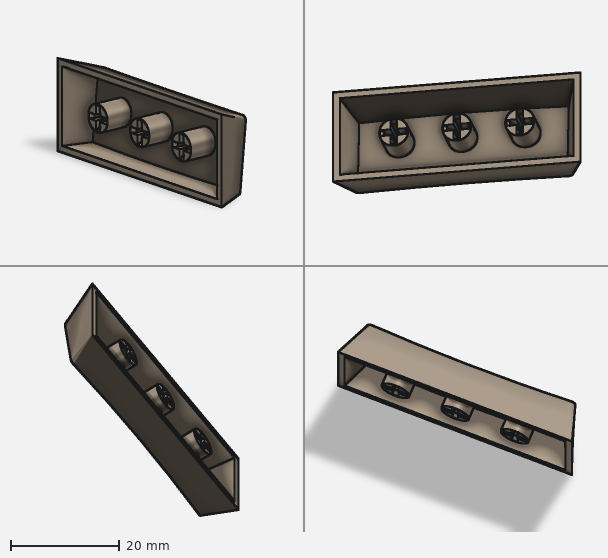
import cadquery as cq
import math

RIM_LENGTH = 46.75
RIM_HEIGHT = 18.0
RIM_WALL = 1.3
RIM_CORNER_RADIUS = 0.01

FACE_LENGTH = 41.55
FACE_UPPER_Y = 8.2
FACE_UPPER_Z = 6.42
FACE_LOWER_Y = 6.69
FACE_LOWER_Z = -8.83
FACE_CORNER_RADIUS = 1.0
DISH_DEPTH = 0.6

TOP_THICKNESS = 1.3
CEILING_LENGTH = 39.54
CEILING_UPPER_Z = 5.28
CEILING_LOWER_Z = -7.5

STEM_COUNT = 3
STEM_PITCH = 11.9
STEM_DIAMETER = 5.5
CROSS_LENGTH = 4.05
CROSS_MOUTH_LENGTH = 5.1
CROSS_BAR_ACROSS = 1.15
CROSS_BAR_UPRIGHT = 1.2
CROSS_LEAD_IN = 0.9

face_slope = (FACE_UPPER_Y - FACE_LOWER_Y) / (FACE_UPPER_Z - FACE_LOWER_Z)
dish_radius = DISH_DEPTH / 2 + (FACE_LENGTH / 2) ** 2 / (2 * DISH_DEPTH)
face_tilt = math.atan(face_slope)


def leaning_plane(lower_z, upper_z, depth):
    """Plane parallel to the typing face at a depth along Y, centred between two Z heights.

    Its local x is X and its local y runs up the face, so its normal points to -Y.
    """
    middle_z = (lower_z + upper_z) / 2
    middle_y = FACE_UPPER_Y + face_slope * (middle_z - FACE_UPPER_Z) - depth
    return cq.Plane(origin=(0, middle_y, middle_z), xDir=(1, 0, 0), normal=(0, -1, face_slope))


def leaning_height(lower_z, upper_z):
    """Length along the leaning plane between two Z heights."""
    return (upper_z - lower_z) / math.cos(face_tilt)


def rectangle(plane, length, height):
    return cq.Workplane(plane).rect(length, height).wires().val()


def rounded_rectangle(plane, length, height, radius):
    wire = rectangle(plane, length, height)
    return wire.fillet2D(radius, wire.Vertices())


def dished_space(depth):
    """Space above a shallow dish, a cylinder whose axis runs up the leaning face."""
    face = leaning_plane(FACE_LOWER_Z, FACE_UPPER_Z, depth)
    axis_plane = cq.Plane(origin=face.origin, xDir=(1, 0, 0), normal=face.yDir)
    return (
        cq.Workplane(axis_plane)
        .center(0, dish_radius - DISH_DEPTH)
        .circle(dish_radius)
        .extrude(RIM_HEIGHT, both=True)
    )


def outer_block():
    """Solid keycap: a sharp rim tapering to the rounded, dished typing face."""
    rim = rounded_rectangle(cq.Plane.XZ(), RIM_LENGTH, RIM_HEIGHT, RIM_CORNER_RADIUS)
    face = rounded_rectangle(
        leaning_plane(FACE_LOWER_Z, FACE_UPPER_Z, 0),
        FACE_LENGTH,
        leaning_height(FACE_LOWER_Z, FACE_UPPER_Z),
        FACE_CORNER_RADIUS,
    )
    block = cq.Workplane(cq.Solid.makeLoft([rim, face], True))
    return block.cut(dished_space(0))


def cavity():
    """Sharp-cornered hollow that narrows toward a ceiling dished like the typing face."""
    rim = rectangle(cq.Plane.XZ(), RIM_LENGTH - 2 * RIM_WALL, RIM_HEIGHT - 2 * RIM_WALL)
    ceiling = rectangle(
        leaning_plane(CEILING_LOWER_Z, CEILING_UPPER_Z, TOP_THICKNESS),
        CEILING_LENGTH,
        leaning_height(CEILING_LOWER_Z, CEILING_UPPER_Z),
    )
    block = cq.Workplane(cq.Solid.makeLoft([rim, ceiling], True))
    return block.cut(dished_space(TOP_THICKNESS))


def cross_bar(width):
    """Slot along X from the stem's end past the ceiling, flared at both ends toward its mouth."""
    half_length = CROSS_LENGTH / 2
    half_mouth = CROSS_MOUTH_LENGTH / 2
    outline = [
        (-half_mouth, 0),
        (-half_length, CROSS_LEAD_IN),
        (-half_length, FACE_UPPER_Y),
        (half_length, FACE_UPPER_Y),
        (half_length, CROSS_LEAD_IN),
        (half_mouth, 0),
    ]
    return cq.Workplane("XY").polyline(outline).close().extrude(width / 2, both=True)


def stem_cross():
    upright = cross_bar(CROSS_BAR_UPRIGHT).rotate((0, 0, 0), (0, 1, 0), 90)
    return cross_bar(CROSS_BAR_ACROSS).union(upright)


def stem():
    """Round post with a cross-shaped socket, both reaching from the rim past the ceiling."""
    post = cq.Workplane("XZ").circle(STEM_DIAMETER / 2).extrude(-FACE_UPPER_Y)
    return post.cut(stem_cross())


hollow = cavity()
for index in range(STEM_COUNT):
    stem_x = (index - (STEM_COUNT - 1) / 2) * STEM_PITCH
    hollow = hollow.cut(stem().translate((stem_x, 0, 0)))

result = outer_block().cut(hollow)